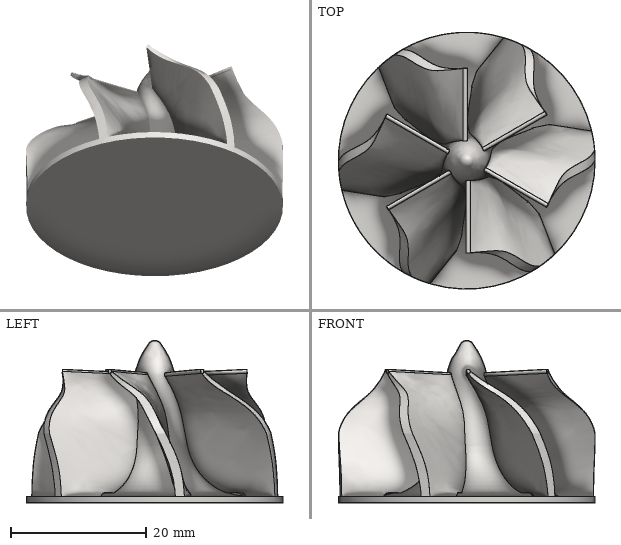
import cadquery as cq
import math

PLATE_RADIUS = 19.0
PLATE_THICKNESS = 0.95
FLARE_RADIUS = 13.95
FLARE_TOP_RADIUS = 4.95
FLARE_TOP_Z = 8.35
HUB_TOP_RADIUS = 3.1
HUB_TOP_Z = 18.13

NOSE_MID_RADIUS = 2.4
NOSE_MID_Z = 20.9
CAP_RADIUS = 2.0 / 2
CAP_BASE_Z = 23.37
TOTAL_HEIGHT = 24.0
CAP_HEIGHT = TOTAL_HEIGHT - CAP_BASE_Z
CAP_SPHERE_RADIUS = (CAP_RADIUS**2 + CAP_HEIGHT**2) / (2 * CAP_HEIGHT)

BLADE_COUNT = 6
FIRST_BLADE_ANGLE = -90.0
EDGE_RADIUS = 0.3
ROOT_OVERLAP = 0.57
LEADING_ROOT_Z = 18.92
LEADING_TIP_Z = 19.75 - EDGE_RADIUS
LEADING_TIP_RADIUS = 13.68
LEADING_OFFSET = 0.23
LEADING_ROOT_ANGLE = math.degrees(math.asin(LEADING_OFFSET / (HUB_TOP_RADIUS - ROOT_OVERLAP)))
LEADING_TIP_ANGLE = math.degrees(math.asin(LEADING_OFFSET / LEADING_TIP_RADIUS))

BLADE_SECTIONS = [
    (
        (LEADING_ROOT_Z, LEADING_ROOT_ANGLE, EDGE_RADIUS),
        (LEADING_TIP_Z, LEADING_TIP_RADIUS, LEADING_TIP_ANGLE, EDGE_RADIUS),
    ),
    ((18.13, 15.0, 0.35), (17.85, LEADING_TIP_RADIUS, 9.0, 0.65)),
    ((16.72, 31.0, 0.35), (16.15, 14.55, 19.6, 0.75)),
    ((13.15, 55.0, 0.3), (13.05, 17.8, 28.4, 0.75)),
    ((8.35, 58.0, 0.35), (10.25, PLATE_RADIUS, 32.7, 0.75)),
    ((3.05, 55.0, 0.6), (5.85, PLATE_RADIUS, 38.6, 0.75)),
    ((1.52, 53.0, 0.75), (2.85, PLATE_RADIUS, 40.7, 0.72)),
    ((PLATE_THICKNESS, 50.0, 0.85), (PLATE_THICKNESS, PLATE_RADIUS, 41.3, 0.7)),
]

FLARE_DROP = FLARE_TOP_Z - PLATE_THICKNESS
FLARE_ARC_RADIUS = ((FLARE_RADIUS - FLARE_TOP_RADIUS)**2 + FLARE_DROP**2) / (2 * FLARE_DROP)


def hub_radius(z):
    """Radius of the hub surface between the plate and the nose."""
    if z >= FLARE_TOP_Z:
        taper = (FLARE_TOP_RADIUS - HUB_TOP_RADIUS) / (HUB_TOP_Z - FLARE_TOP_Z)
        return FLARE_TOP_RADIUS - taper * (z - FLARE_TOP_Z)
    height_below_center = PLATE_THICKNESS + FLARE_ARC_RADIUS - z
    return FLARE_RADIUS - math.sqrt(FLARE_ARC_RADIUS**2 - height_below_center**2)


def polar_point(radius, angle, z, side_shift=0.0):
    """Point at a radius and angle, shifted sideways around the axis."""
    turn = math.radians(angle) + side_shift / radius
    return cq.Vector(radius * math.cos(turn), radius * math.sin(turn), z)


def make_hub():
    flare_mid_z = (FLARE_TOP_Z + PLATE_THICKNESS) / 2
    cap_mid_radius = CAP_RADIUS / 2
    cap_mid_drop = CAP_SPHERE_RADIUS - math.sqrt(CAP_SPHERE_RADIUS**2 - cap_mid_radius**2)
    return (
        cq.Workplane("XZ")
        .lineTo(PLATE_RADIUS, 0)
        .lineTo(PLATE_RADIUS, PLATE_THICKNESS)
        .lineTo(FLARE_RADIUS, PLATE_THICKNESS)
        .threePointArc((hub_radius(flare_mid_z), flare_mid_z), (FLARE_TOP_RADIUS, FLARE_TOP_Z))
        .lineTo(HUB_TOP_RADIUS, HUB_TOP_Z)
        .threePointArc((NOSE_MID_RADIUS, NOSE_MID_Z), (CAP_RADIUS, CAP_BASE_Z))
        .threePointArc((cap_mid_radius, TOTAL_HEIGHT - cap_mid_drop), (0, TOTAL_HEIGHT))
        .close()
        .revolve(360, (0, 0, 0), (0, 1, 0))
    )


def blade_corners(root, tip, drop=0.0):
    """Four corners of a section reaching from inside the hub to the blade tip."""
    root_z, root_angle, root_half = root
    tip_z, tip_radius, tip_angle, tip_half = tip
    root_radius = hub_radius(root_z) - ROOT_OVERLAP
    return [
        polar_point(root_radius, root_angle, root_z - drop, -root_half),
        polar_point(tip_radius, tip_angle, tip_z - drop, -tip_half),
        polar_point(tip_radius, tip_angle, tip_z - drop, tip_half),
        polar_point(root_radius, root_angle, root_z - drop, root_half),
    ]


def make_blade_body():
    """Twisted blade whose four long edges are splines joined by ruled faces."""
    sections = [blade_corners(root, tip) for root, tip in BLADE_SECTIONS]
    sections.append(blade_corners(*BLADE_SECTIONS[-1], drop=ROOT_OVERLAP))

    rails = [cq.Edge.makeSpline(list(points)) for points in zip(*sections)]
    faces = [
        cq.Face.makeRuledSurface(rail, next_rail)
        for rail, next_rail in zip(rails, rails[1:] + rails[:1])
    ]
    for corners in (sections[0], sections[-1]):
        root_low, tip_low, tip_high, root_high = corners
        low_edge = cq.Edge.makeLine(root_low, tip_low)
        high_edge = cq.Edge.makeLine(root_high, tip_high)
        faces.append(cq.Face.makeRuledSurface(low_edge, high_edge))
    return cq.Solid.makeSolid(cq.Shell.makeShell(faces)).fix()


def make_blade():
    body = cq.Workplane(make_blade_body())

    start = polar_point(hub_radius(LEADING_ROOT_Z) - ROOT_OVERLAP, LEADING_ROOT_ANGLE, LEADING_ROOT_Z)
    end = polar_point(LEADING_TIP_RADIUS, LEADING_TIP_ANGLE, LEADING_TIP_Z)
    span = end - start
    edge = cq.Solid.makeCylinder(EDGE_RADIUS, span.Length, start, span)

    envelope = cq.Workplane().circle(PLATE_RADIUS).extrude(TOTAL_HEIGHT)
    return body.union(edge).intersect(envelope)


result = make_hub()
blade = make_blade()
for index in range(BLADE_COUNT):
    angle = FIRST_BLADE_ANGLE + index * 360 / BLADE_COUNT
    result = result.union(blade.rotate((0, 0, 0), (0, 0, 1), angle))